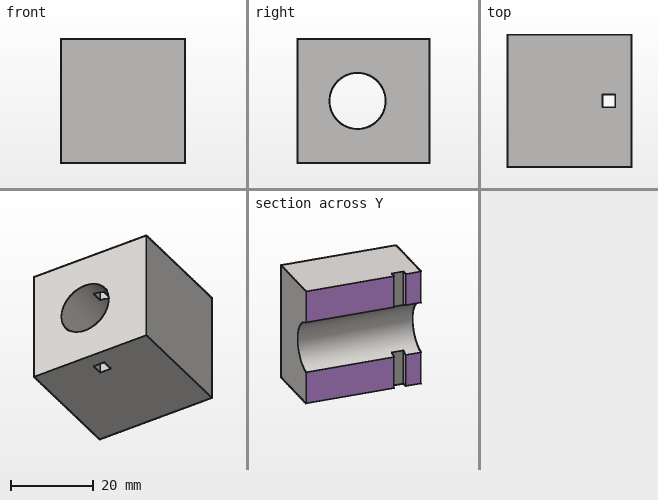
import cadquery as cq

length_y = 32.0
side = 30.0

bore_diameter = 13.5
bore_y = -1.45

slot_side = 3.0
slot_x = 9.5
slot_y = 0.0

block = cq.Workplane("XY").box(side, length_y, side)

bore = (
    cq.Workplane("YZ")
    .center(bore_y, 0)
    .circle(bore_diameter / 2)
    .extrude(side / 2, both=True)
)

slot = cq.Workplane("XY").box(slot_side, slot_side, side).translate((slot_x, slot_y, 0))

result = block.cut(bore).cut(slot)